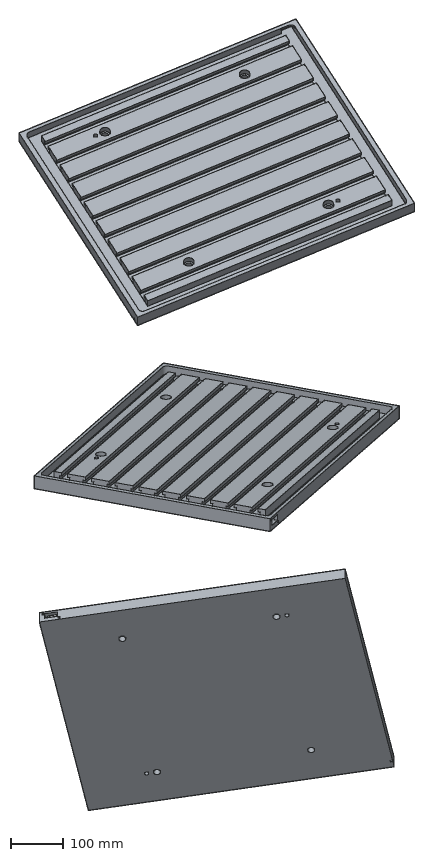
import cadquery as cq

length_x = 496.0
length_y = 596.0
height = 27.0

rim_x = 7.0
rim_y = 10.0
recess_corner_radius = 9.0
recess_depth = 17.0
recess_floor = height - recess_depth
recess_x = length_x - 2 * rim_x
recess_y = length_y - 2 * rim_y

platform_x = 444.0
platform_y = 525.5

slot_count = 9
slot_pitch = 50.0
slot_mouth_width = 12.5
slot_base_width = 21.5
slot_lip_thickness = 7.0
slot_floor_step = 0.5
slot_floor = recess_floor + slot_floor_step

mount_spacing_in_pitches = 7
mount_x = mount_spacing_in_pitches * slot_pitch / 2
mount_y = 150.0
mount_diameter = 13.0
counterbore_diameter = 20.0
counterbore_depth = 12.0

pin_diameter = 8.0
pin_offset = 20.0
pin_x = mount_x
pin_y = mount_y + pin_offset

window_length = 25.0
window_height = 12.0
window_reach = rim_x + recess_corner_radius

small_hole_diameter = 4.1
small_hole_depth = 5.0
upper_hole_y = length_y / 2 - 7.0
upper_hole_z = 21.5
lower_hole_y = length_y / 2 - 38.0
lower_hole_z = 6.0
front_hole_x = length_x / 2 - 14.5
front_hole_z = 3.0


def block(size_x, size_y, bottom, top):
    """Box centred on the Z axis between two heights."""
    return cq.Workplane("XY").workplane(offset=bottom).rect(size_x, size_y).extrude(top - bottom)


def t_slot(center_x):
    """Narrow mouth over a wider base, as long as the platform."""
    lip_bottom = height - slot_lip_thickness
    mouth = block(slot_mouth_width, platform_y, slot_floor, height)
    base = block(slot_base_width, platform_y, slot_floor, lip_bottom)
    return mouth.union(base).translate((center_x, 0, 0))


def holes_from_top(points, diameter, depth):
    """Vertical round cutters reaching down from the top face."""
    return cq.Workplane("XY").workplane(offset=height).pushPoints(points).circle(diameter / 2).extrude(-depth)


def small_hole(start, direction):
    """Cutter for a small blind hole drilled from a rim face."""
    return cq.Solid.makeCylinder(
        small_hole_diameter / 2, small_hole_depth, cq.Vector(*start), cq.Vector(*direction)
    )


recess = block(recess_x, recess_y, recess_floor, height).edges("|Z").fillet(recess_corner_radius)
tray = block(length_x, length_y, 0, height).cut(recess)

tray = tray.union(block(platform_x, platform_y, recess_floor, height))
for index in range(slot_count):
    slot_x = (index - (slot_count - 1) / 2) * slot_pitch
    tray = tray.cut(t_slot(slot_x))

mount_points = [(side_x * mount_x, side_y * mount_y) for side_x in (-1, 1) for side_y in (-1, 1)]
pin_points = [(-pin_x, -pin_y), (pin_x, pin_y)]
tray = tray.cut(holes_from_top(mount_points, mount_diameter, height))
tray = tray.cut(holes_from_top(mount_points, counterbore_diameter, counterbore_depth))
tray = tray.cut(holes_from_top(pin_points, pin_diameter, height))

window = cq.Workplane("XY").box(window_reach, window_length, window_height, centered=False)
window_corner = (-length_x / 2, recess_y / 2 - window_length, recess_floor)
tray = tray.cut(window.translate(window_corner))

tray = tray.cut(small_hole((-length_x / 2, upper_hole_y, upper_hole_z), (1, 0, 0)))
tray = tray.cut(small_hole((-length_x / 2, lower_hole_y, lower_hole_z), (1, 0, 0)))
tray = tray.cut(small_hole((front_hole_x, -length_y / 2, front_hole_z), (0, 1, 0)))

result = tray